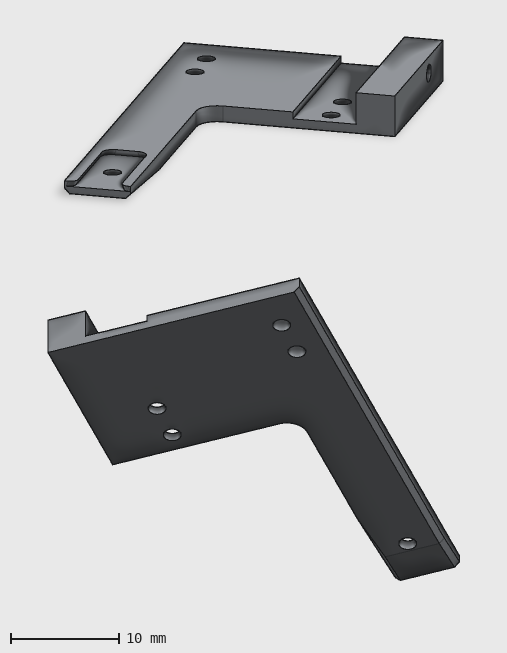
import cadquery as cq
import math

width = 24.8
length = 42.0
arm_width = 6.35
body_length = 16.95
inner_corner_radius = 2.0

plate_thickness = 1.55
step_height = 0.9
rail_height = 3.95

rail_width = 3.7
step_width = 6.05

hole_diameter = 1.65
hole_line_x = 3.25
plate_hole_ys = (34.0, 38.0)
step_hole_x = 18.15
step_hole_ys = (27.05, 31.05)
tip_hole_y = 5.0
rail_hole_y = 37.0
rail_hole_z = 2.35

pocket_width = 4.2
pocket_length = 10.1
pocket_depth = 0.5
pocket_spread = 0.19
pocket_corner_radius = 1.0
mouth_radius = 0.7

edge_bevel = 0.5
ramp_length = 4.0
ramp_rise = 0.35

margin = 0.4

body_start = length - body_length
pocket_left = hole_line_x - pocket_width / 2
pocket_right = hole_line_x + pocket_width / 2
rail_start = width - rail_width
step_start = rail_start - step_width


def block(x_size, y_size, z_size, corner):
    """Box placed by its lowest corner."""
    return cq.Workplane("XY").box(x_size, y_size, z_size, centered=False).translate(corner)


def make_plate():
    """L-shaped plate with a filleted inner corner."""
    arm = block(arm_width, length, plate_thickness, (0, 0, 0))
    body = block(width, body_length, plate_thickness, (0, body_start, 0))
    inner_corner = cq.selectors.NearestToPointSelector((arm_width, body_start, plate_thickness / 2))
    return arm.union(body).edges("|Z").edges(inner_corner).fillet(inner_corner_radius)


def make_step_cut():
    """Lowered strip across the body, beside the rail."""
    depth = plate_thickness - step_height
    return block(step_width, body_length, depth, (step_start, body_start, step_height))


def make_rail():
    """Raised rail along the outer side of the body."""
    return block(rail_width, body_length, rail_height, (rail_start, body_start, 0))


def make_pocket():
    """Shallow dovetail pocket, wider at its floor than at its top, with rounded inner corners."""
    floor = plate_thickness - pocket_depth
    profile = (
        cq.Workplane("XZ")
        .polyline([
            (pocket_left - pocket_spread, floor),
            (pocket_right + pocket_spread, floor),
            (pocket_right, plate_thickness),
            (pocket_left, plate_thickness),
        ])
        .close()
    )
    pocket = profile.extrude(-pocket_length)
    return pocket.faces(">Y").edges("not #Z").fillet(pocket_corner_radius)


def round_pocket_mouth(part):
    """Round the two wall ends where the pocket opens at the tip."""
    height = plate_thickness - pocket_depth / 2
    left = pocket_left - pocket_spread / 2
    right = pocket_right + pocket_spread / 2
    for x in (left, right):
        wall_end = cq.selectors.NearestToPointSelector((x, 0, height))
        part = part.edges(wall_end).fillet(mouth_radius)
    return part


def make_outer_bevel():
    """Bevel along the whole outer lower edge."""
    profile = cq.Workplane("XZ").polyline([(0, 0), (edge_bevel, 0), (0, edge_bevel)]).close()
    return profile.extrude(-length)


def make_tip_ramp():
    """Sloped underside at the tip, with both side bevels running along the slope until they fade out."""
    slope = ramp_rise / ramp_length
    reach = (ramp_rise + edge_bevel) / slope + margin
    profile = (
        cq.Workplane("XZ", origin=(0, -margin, 0))
        .polyline([
            (0, -rail_height),
            (arm_width, -rail_height),
            (arm_width, edge_bevel),
            (arm_width - edge_bevel, 0),
            (edge_bevel, 0),
            (0, edge_bevel),
        ])
        .close()
    )
    sloped = profile.extrude(-(reach + margin))
    return sloped.rotate((0, 0, 0), (1, 0, 0), -math.degrees(math.atan(slope))).translate((0, 0, ramp_rise))


def make_holes():
    """Vertical holes through the plate and one cross hole through the rail."""
    places = [(hole_line_x, y) for y in (tip_hole_y, *plate_hole_ys)]
    places += [(step_hole_x, y) for y in step_hole_ys]
    radius = hole_diameter / 2
    vertical = cq.Workplane("XY").pushPoints(places).circle(radius).extrude(plate_thickness)
    cross = (
        cq.Workplane("YZ", origin=(rail_start, 0, 0))
        .center(rail_hole_y, rail_hole_z)
        .circle(radius)
        .extrude(rail_width)
    )
    return vertical.union(cross)


part = (
    make_plate()
    .cut(make_step_cut())
    .union(make_rail())
    .cut(make_outer_bevel())
    .cut(make_tip_ramp())
    .cut(make_pocket())
    .cut(make_holes())
)
result = round_pocket_mouth(part)